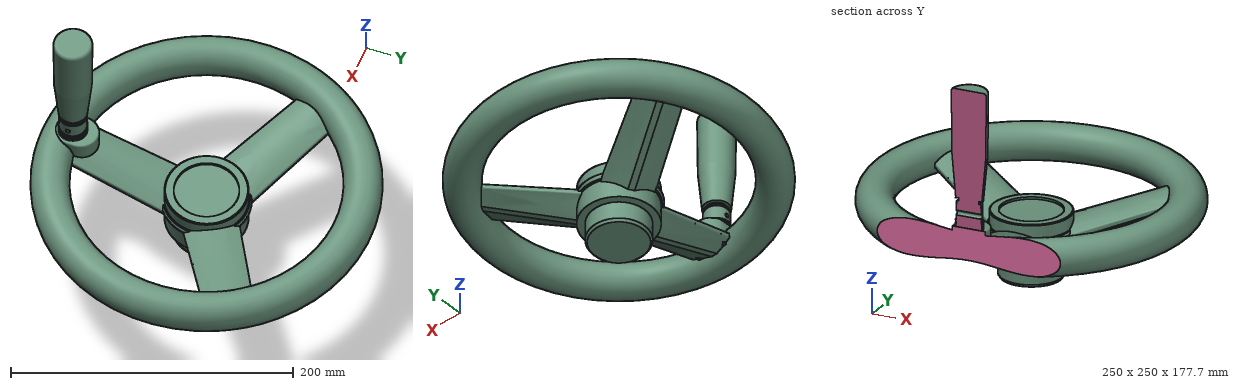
import cadquery as cq
import math

rim_outer_radius = 125.0
rim_tube_radius = 14.0
rim_radius = rim_outer_radius - rim_tube_radius
rim_height = 58.2

hub_radius = 30.0
hub_top = 50.5
hub_top_chamfer = 0.7
boss_radius = 24.0
boss_height = 17.2
boss_chamfer_height = 2.2
boss_chamfer_width = 1.5
recess_radius = 23.2
recess_depth = 1.7

collar_radius = 32.2
collar_bottom = 35.2
collar_top = 39.7
collar_rounding = 1.2
collar_underside_fillet = 0.7

spoke_angles = (-90, 30, 150)
spoke_start = 20.0
spoke_end = 107.5
spoke_half_width_at_axis = 20.7
spoke_taper = 0.027
edge_slope = 0.285
edge_top_at_axis = 30.5
edge_thickness = 3.5
edge_rounding = 1.2
arch_height = 4.7
ridge_slope = 0.374
ridge_height_at_axis = 13.2
ridge_width = 5.0

handle_radius_from_axis = 101.7
pad_width = 26.5
pad_inner_reach = 82.7
pad_outer_reach = 114.2
pad_top = 72.5
pad_base = rim_height - 6.2
pad_fillet = 1.2

handle_top = 177.7
flange_radius = 10.5
flange_groove_bottom = 74.7
flange_groove_top = 75.5
flange_top = 77.7
groove_depth = 0.2
sleeve_radius = 10.0
sleeve_groove_bottom = 89.7
sleeve_groove_top = 90.5
sleeve_top = 92.5
sleeve_chamfer = 1.0
neck_radius = 8.0
grip_bottom = 94.2
grip_bottom_radius = 10.5
grip_shoulder = 127.5
grip_shoulder_radius = 13.5
grip_radius = 14.0
grip_top_fillet = 2.5
cross_hole_diameter = 3.2
cross_hole_height = 83.0


def make_rim():
    center = cq.Vector(0, 0, rim_height)
    downward = cq.Vector(0, 0, -1)
    return cq.Workplane(cq.Solid.makeTorus(rim_radius, rim_tube_radius, center, downward))


def make_hub():
    return (
        cq.Workplane("XZ")
        .moveTo(0, 0)
        .lineTo(boss_radius - boss_chamfer_width, 0)
        .lineTo(boss_radius, boss_chamfer_height)
        .lineTo(boss_radius, boss_height)
        .lineTo(hub_radius, boss_height)
        .lineTo(hub_radius, hub_top - hub_top_chamfer)
        .lineTo(hub_radius - hub_top_chamfer, hub_top)
        .lineTo(recess_radius, hub_top)
        .lineTo(recess_radius, hub_top - recess_depth)
        .lineTo(0, hub_top - recess_depth)
        .close()
        .revolve(360, (0, 0), (0, 1))
    )


def make_collar():
    """Ring with a rounded outer edge and a concave fillet under it against the hub."""
    inner_radius = hub_radius - collar_underside_fillet
    fillet_start = hub_radius + collar_underside_fillet
    fillet_end = collar_bottom - collar_underside_fillet
    fillet_middle = collar_underside_fillet * (1 - math.sqrt(0.5))
    collar_middle = (collar_top + collar_bottom) / 2
    rounding_start = collar_radius - collar_rounding
    return (
        cq.Workplane("XZ")
        .moveTo(inner_radius, fillet_end)
        .lineTo(hub_radius, fillet_end)
        .threePointArc(
            (hub_radius + fillet_middle, collar_bottom - fillet_middle),
            (fillet_start, collar_bottom),
        )
        .lineTo(rounding_start, collar_bottom)
        .threePointArc((collar_radius, collar_middle), (rounding_start, collar_top))
        .lineTo(inner_radius, collar_top)
        .close()
        .revolve(360, (0, 0), (0, 1))
    )


def spoke_section(radius):
    """Cross-section wire of a spoke pointing along +X, at the given radius."""
    half_width = spoke_half_width_at_axis - spoke_taper * radius
    edge_top = edge_top_at_axis + edge_slope * radius
    ridge_height = ridge_height_at_axis + ridge_slope * radius
    return (
        cq.Workplane("YZ", origin=(radius, 0, 0))
        .moveTo(-half_width, edge_top)
        .threePointArc((0, edge_top + arch_height), (half_width, edge_top))
        .lineTo(half_width, edge_top - edge_thickness)
        .lineTo(ridge_width / 2, ridge_height)
        .lineTo(-ridge_width / 2, ridge_height)
        .lineTo(-half_width, edge_top - edge_thickness)
        .close()
        .val()
    )


def make_spoke(angle):
    sections = [spoke_section(spoke_start), spoke_section(spoke_end)]
    spoke = cq.Workplane(cq.Solid.makeLoft(sections, True))
    spoke = spoke.faces("<Y or >Y").edges("not(|Z)").fillet(edge_rounding)
    return spoke.rotate((0, 0, 0), (0, 0, 1), angle)


def make_handle_pad():
    """Pad of round-ended outline along the spoke at -Y, rising out of the rim."""
    pad_length = pad_outer_reach - pad_inner_reach
    pad_center = (pad_outer_reach + pad_inner_reach) / 2
    return (
        cq.Workplane("XY", origin=(0, -pad_center, pad_base))
        .slot2D(pad_length, pad_width, 90)
        .extrude(pad_top - pad_base)
        .faces(">Z")
        .edges()
        .fillet(pad_fillet)
    )


def make_wheel():
    wheel = make_hub().union(make_collar())
    for angle in spoke_angles:
        wheel = wheel.union(make_spoke(angle))
    return wheel.union(make_rim()).union(make_handle_pad())


def make_handle():
    groove_radius = flange_radius - groove_depth
    fillet_start = handle_top - grip_top_fillet
    fillet_middle = grip_top_fillet * (1 - math.sqrt(0.5))
    sleeve_groove_radius = sleeve_radius - groove_depth
    handle = (
        cq.Workplane("XZ")
        .moveTo(0, pad_top)
        .lineTo(flange_radius, pad_top)
        .lineTo(flange_radius, flange_groove_bottom)
        .lineTo(groove_radius, flange_groove_bottom)
        .lineTo(groove_radius, flange_groove_top)
        .lineTo(flange_radius, flange_groove_top)
        .lineTo(flange_radius, flange_top)
        .lineTo(sleeve_radius, flange_top)
        .lineTo(sleeve_radius, sleeve_groove_bottom)
        .lineTo(sleeve_groove_radius, sleeve_groove_bottom)
        .lineTo(sleeve_groove_radius, sleeve_groove_top)
        .lineTo(sleeve_radius, sleeve_groove_top)
        .lineTo(sleeve_radius, sleeve_top - sleeve_chamfer)
        .lineTo(sleeve_radius - sleeve_chamfer, sleeve_top)
        .lineTo(neck_radius, sleeve_top)
        .lineTo(neck_radius, grip_bottom)
        .lineTo(grip_bottom_radius, grip_bottom)
        .lineTo(grip_shoulder_radius, grip_shoulder)
        .lineTo(grip_radius, fillet_start)
        .threePointArc(
            (grip_radius - fillet_middle, handle_top - fillet_middle),
            (grip_radius - grip_top_fillet, handle_top),
        )
        .lineTo(0, handle_top)
        .close()
        .revolve(360, (0, 0), (0, 1))
    )
    cross_hole = (
        cq.Workplane("YZ", origin=(-grip_radius, 0, cross_hole_height))
        .circle(cross_hole_diameter / 2)
        .extrude(2 * grip_radius)
    )
    return handle.cut(cross_hole).translate((0, -handle_radius_from_axis, 0))


wheel = make_wheel()
handle = make_handle()
result = cq.Compound.makeCompound([wheel.val(), handle.val()])